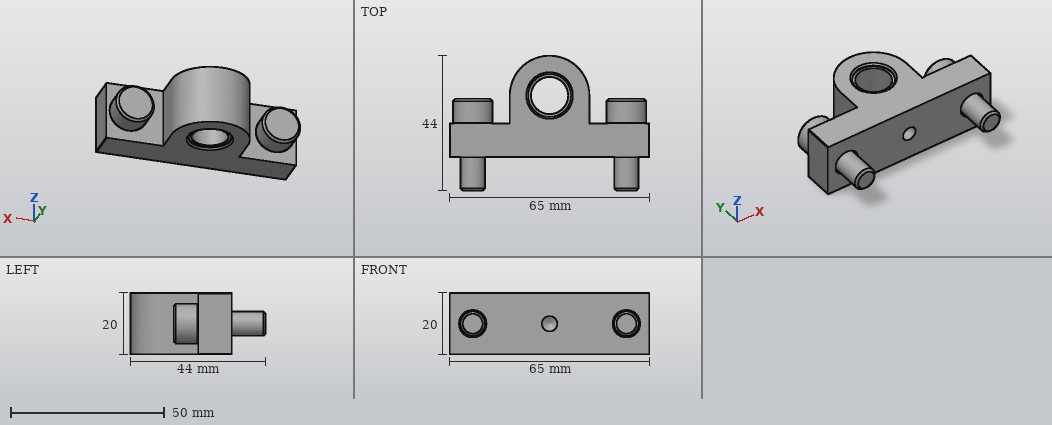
import cadquery as cq
import math

base_length = 65
base_depth = 11.0
height = 20.0
end_edge_chamfer = 0.2

lug_radius = 13
lug_center_y = 20.0
bore_diameter = 12.0
seat_diameter = 14.0
seat_depth = 1.0
mouth_diameter = 15.2

blind_hole_diameter = 5.0
blind_hole_depth = 6.5
drill_point_angle = 118

bolt_spacing = 50.0
clearance_diameter = 9.0
shank_diameter = 8.0
shank_projection = 11.0
tip_chamfer = 0.8
head_diameter = 13
head_height = 8.0
head_chamfer = 0.8
head_underside_chamfer = 0.25

bolt_positions = (-bolt_spacing / 2, bolt_spacing / 2)


def revolve_about_y(profile):
    """Revolve a closed (radius, y) profile around the Y axis."""
    return cq.Workplane("XY").polyline(profile).close().revolve(360, (0, 0, 0), (0, 1, 0))


def make_blank():
    """Base bar with chamfered end edges, joined to the round-ended lug."""
    base = (
        cq.Workplane("XY")
        .box(base_length, base_depth, height)
        .translate((0, base_depth / 2, 0))
        .edges("|Y")
        .chamfer(end_edge_chamfer)
    )
    lug = (
        cq.Workplane("XY", origin=(0, 0, -height / 2))
        .moveTo(-lug_radius, base_depth / 2)
        .lineTo(lug_radius, base_depth / 2)
        .lineTo(lug_radius, lug_center_y)
        .threePointArc((0, lug_center_y + lug_radius), (-lug_radius, lug_center_y))
        .close()
        .extrude(height)
    )
    return base.union(lug)


def make_bore_cutter():
    """Through bore with a wider seat and a 45 degree mouth at both ends."""
    bore_radius = bore_diameter / 2
    seat_radius = seat_diameter / 2
    mouth_radius = mouth_diameter / 2
    top = height / 2
    seat_floor = top - seat_depth
    mouth_bottom = top - (mouth_radius - seat_radius)
    upper_half = (
        cq.Workplane("XZ")
        .polyline([
            (0, 0),
            (bore_radius, 0),
            (bore_radius, seat_floor),
            (seat_radius, seat_floor),
            (seat_radius, mouth_bottom),
            (mouth_radius, top),
            (0, top),
        ])
        .close()
        .revolve(360, (0, 0, 0), (0, 1, 0))
    )
    return upper_half.union(upper_half.mirror("XY")).translate((0, lug_center_y, 0))


def make_blind_hole_cutter():
    """Drilled hole with a conical bottom."""
    radius = blind_hole_diameter / 2
    point_length = radius / math.tan(math.radians(drill_point_angle / 2))
    return revolve_about_y([
        (0, 0),
        (radius, 0),
        (radius, blind_hole_depth),
        (0, blind_hole_depth + point_length),
    ])


def make_clearance_hole_cutter(x):
    """Straight bolt hole through the base bar."""
    return (
        cq.Workplane("XZ", origin=(x, 0, 0))
        .circle(clearance_diameter / 2)
        .extrude(-base_depth)
    )


def make_block():
    block = make_blank().cut(make_bore_cutter()).cut(make_blind_hole_cutter())
    for x in bolt_positions:
        block = block.cut(make_clearance_hole_cutter(x))
    return block


def make_bolt(x):
    """Cap-head bolt with its head seated on the back of the base bar."""
    shank_radius = shank_diameter / 2
    head_radius = head_diameter / 2
    tip = -shank_projection
    head_top = base_depth + head_height
    return revolve_about_y([
        (0, tip),
        (shank_radius - tip_chamfer, tip),
        (shank_radius, tip + tip_chamfer),
        (shank_radius, base_depth),
        (head_radius - head_underside_chamfer, base_depth),
        (head_radius, base_depth + head_underside_chamfer),
        (head_radius, head_top - head_chamfer),
        (head_radius - head_chamfer, head_top),
        (0, head_top),
    ]).translate((x, 0, 0))


block = make_block()
bolts = [make_bolt(x) for x in bolt_positions]

result = cq.Compound.makeCompound([block.val(), *[bolt.val() for bolt in bolts]])